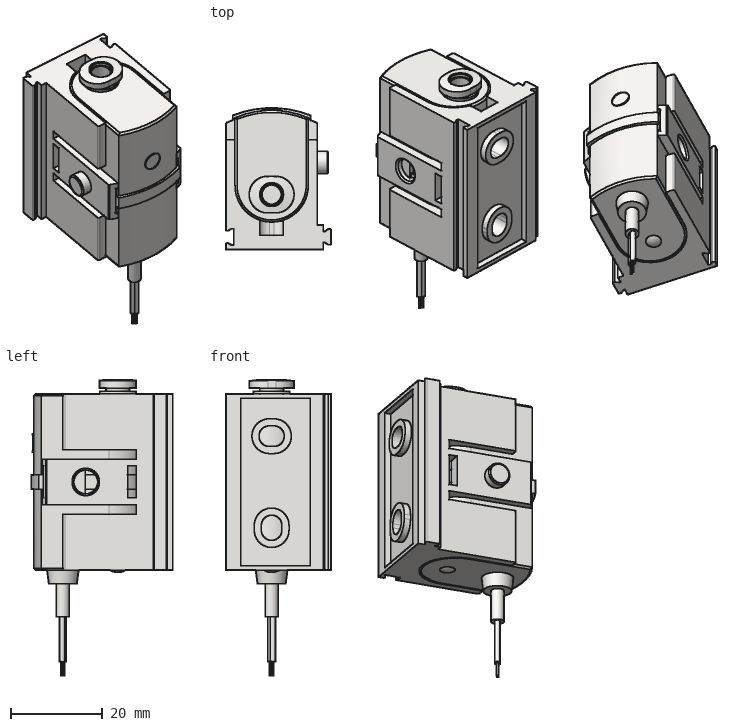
import cadquery as cq

height = 38.5
mid_z = height / 2
housing_half_width = 10.0

big = 100.0

unit_radius = 8.0
unit_center_y = 14.0
unit_side_y = 28.75
unit_back_y = 30.4
unit_chamfer = 0.45

band_height = 3.1
band_half_width = 8.5
band_side_y = 29.3
band_back_y = 30.94
pad_height = 7.0
pad_start_y = 19.1
pad_end_y = 28.55
groove_depth = 0.5

lamp_diameter = 4.0
lamp_z = height - 10.75
lamp_rise = 0.25

fitting_y = 12.0
fitting_diameter = 8.0
base_flange_height = 0.6
neck_diameter = 5.2
collar_start = 1.25
fitting_height = 3.1
collar_straight = 1.8
collar_slope_drop = 0.3
bore_diameter = 4.2
counterbore_diameter = 4.8
counterbore_depth = 0.9
counterbore_chamfer = 0.2
bore_depth = 5.0
dome_radius = 1.7
dome_height = 0.5

cable_y = 24.0
relief_top_diameter = 7.0
relief_bottom_diameter = 6.2
relief_length = 3.0
sheath_diameter = 2.9
sheath_end = 10.2
wire_diameter = 1.2
wire_end = 20.0
core_diameter = 0.45
core_end = 23.1
wire_offset_x = 0.28
wire_offset_y = 0.18

wall_end_y = 24.0
wall_outer_fillet = 0.4
arm_height = 10.0
arm_outer_y = 27.5
arm_inner_y = 28.5
arm_chamfer = 0.25
slot_height = 2.05
slot_start_y = 8.0
window_length = 1.85
window_height = 7.0

peg_y = 19.0
peg_diameter = 5.0
peg_length = 2.4
peg_chamfer = 0.3
socket_diameter = 5.2
socket_mouth_diameter = 6.0
socket_chamfer = (socket_mouth_diameter - socket_diameter) / 2
rail_center_y = 2.75
rail_base_x = 11.3
rail_tip_x = 13.0
rail_shoulder_y = 5.4
rail_waist = 2.4
rail_lobe = 3.5
rail_lobe_width = 0.6
rail_fillet = 0.25
groove_floor_depth = 1.7
groove_mouth = 2.75
groove_floor = 3.5
groove_lip = 0.6

recess_left_x = -6.75
recess_right_x = 8.4
recess_depth = 1.5
recess_margin = 1.0
port_spacing = 20.0
boss_diameter = 7.6
port_diameter = 4.5
port_straight = 1.0
shaft_width = 5.1
shaft_start_y = 3.1


def block(x0, x1, y0, y1, z0, z1):
    """Axis-aligned block between two corners."""
    return cq.Workplane("XY").box(x1 - x0, y1 - y0, z1 - z0, centered=False).translate((x0, y0, z0))


def disc(x, y, diameter, z0, z1):
    """Upright cylinder between two heights."""
    return cq.Workplane("XY", origin=(x, y, z0)).circle(diameter / 2).extrude(z1 - z0)


def obround(z, diameter, straight, y0, y1, upright):
    """Stadium-shaped prism along Y, lying along X or standing along Z."""
    turn = 90 if upright else 0
    sketch = cq.Workplane("XZ", origin=(0, y0, z))
    return sketch.slot2D(diameter + straight, diameter, turn).extrude(y0 - y1)


def u_prism(half_width, side_y, back_y, z0, z1):
    """Prism with a round front end, straight sides and a bowed back."""
    return (
        cq.Workplane("XY", origin=(0, 0, z0))
        .moveTo(-half_width, side_y)
        .lineTo(-half_width, unit_center_y)
        .threePointArc((0, unit_center_y - half_width), (half_width, unit_center_y))
        .lineTo(half_width, side_y)
        .threePointArc((0, back_y), (-half_width, side_y))
        .close()
        .extrude(z1 - z0)
    )


def centered_slab(span_height, y0, y1):
    """Slab across the full width, centred on the mid height."""
    return block(-big, big, y0, y1, mid_z - span_height / 2, mid_z + span_height / 2)


def clip_pads():
    """Shallow pads on both flanks that seat inside the snap arms."""
    pads = centered_slab(pad_height, pad_start_y, pad_end_y)
    return pads.intersect(u_prism(band_half_width, band_side_y, band_back_y, 0, height))


def fitting():
    """Push-in fitting: base flange, neck and release collar with a slightly conical top."""
    flange = disc(0, fitting_y, fitting_diameter, height, height + base_flange_height)
    neck = disc(0, fitting_y, neck_diameter, height, height + collar_start)
    collar = (
        cq.Workplane("XY", origin=(0, fitting_y, height + collar_start))
        .slot2D(fitting_diameter + collar_straight, fitting_diameter)
        .extrude(fitting_height - collar_start)
    )
    crown = (
        cq.Workplane("XY", origin=(0, fitting_y, height + fitting_height))
        .circle(counterbore_diameter / 2 + counterbore_chamfer)
        .workplane(offset=-collar_slope_drop)
        .circle((fitting_diameter + collar_straight) / 2)
        .loft()
    )
    plain_top = height + fitting_height - collar_slope_drop
    crown = crown.union(block(-big, big, -big, big, height, plain_top))
    return flange.union(neck).union(collar.intersect(crown))


def fitting_bore():
    """Blind stepped bore of the fitting with a chamfered mouth."""
    top = height + fitting_height
    bore = disc(0, fitting_y, bore_diameter, top - bore_depth, top)
    counterbore = disc(0, fitting_y, counterbore_diameter, top - counterbore_depth, top)
    mouth = (
        cq.Workplane("XY", origin=(0, fitting_y, top))
        .circle(counterbore_diameter / 2 + counterbore_chamfer)
        .workplane(offset=-counterbore_chamfer)
        .circle(counterbore_diameter / 2)
        .loft()
    )
    return bore.union(counterbore).union(mouth)


def dome():
    """Shallow dome under the lower end."""
    ball_radius = (dome_radius**2 + dome_height**2) / (2 * dome_height)
    ball = cq.Workplane("XY").sphere(ball_radius).translate((0, fitting_y, ball_radius - dome_height))
    return ball.intersect(block(-big, big, -big, big, -dome_height, 0))


def cable():
    """Strain relief, sheath and two wires with bare ends."""
    relief = (
        cq.Workplane("XY", origin=(0, cable_y, 0))
        .circle(relief_top_diameter / 2)
        .workplane(offset=-relief_length)
        .circle(relief_bottom_diameter / 2)
        .loft()
    )
    leads = relief.union(disc(0, cable_y, sheath_diameter, -sheath_end, -relief_length))
    for side in (-1, 1):
        x = side * wire_offset_x
        y = cable_y - side * wire_offset_y
        leads = leads.union(disc(x, y, wire_diameter, -wire_end, -sheath_end))
        leads = leads.union(disc(x, y, core_diameter, -core_end, -wire_end))
    return leads


def make_unit():
    """Control unit with its fitting, cable, clip band and lamp."""
    body = u_prism(unit_radius, unit_side_y, unit_back_y, 0, height)
    body = body.faces("<Z or >Z").edges().chamfer(unit_chamfer)

    groove = centered_slab(band_height, 0, pad_start_y)
    core = u_prism(unit_radius - groove_depth, unit_side_y, unit_back_y, 0, height)
    body = body.cut(groove.cut(core))

    band = centered_slab(band_height, pad_end_y, big)
    band = band.intersect(u_prism(band_half_width, band_side_y, band_back_y, 0, height))
    lamp = (
        cq.Workplane("XZ", origin=(0, unit_side_y, lamp_z))
        .circle(lamp_diameter / 2)
        .extrude(unit_side_y - band_back_y)
    )
    lamp = lamp.intersect(
        u_prism(unit_radius, unit_side_y + lamp_rise, unit_back_y + lamp_rise, 0, height)
    )
    body = body.union(clip_pads()).union(band).union(lamp)
    return body.union(fitting()).cut(fitting_bore()).union(dome()).union(cable())


def rail():
    """Dovetail rail with rounded lobes on the right side of the base."""
    lobe_start = rail_tip_x - rail_lobe_width
    tip_half = rail_lobe / 2
    waist_half = rail_waist / 2
    return (
        cq.Workplane("XY", origin=(0, rail_center_y, 0))
        .polyline([
            (rail_base_x, -waist_half),
            (rail_base_x + rail_fillet, -waist_half),
            (lobe_start, -tip_half),
            (rail_tip_x, -tip_half),
            (rail_tip_x, tip_half),
            (lobe_start, tip_half),
            (rail_base_x + rail_fillet, waist_half),
            (rail_base_x, waist_half),
        ])
        .close()
        .extrude(height)
        .edges("|Z and >X")
        .fillet(rail_fillet)
    )


def rail_groove():
    """Undercut groove on the left side that takes a neighbour's rail."""
    floor_x = groove_floor_depth - housing_half_width
    lip_x = groove_lip - housing_half_width
    flare_x = lip_x + groove_lip
    mouth_half = groove_mouth / 2
    floor_half = groove_floor / 2
    return (
        cq.Workplane("XY", origin=(0, rail_center_y, 0))
        .moveTo(-housing_half_width, -floor_half + rail_fillet)
        .threePointArc((-housing_half_width + groove_lip / 4, -mouth_half), (lip_x, -mouth_half))
        .lineTo(flare_x, -floor_half)
        .lineTo(floor_x, -floor_half)
        .lineTo(floor_x, floor_half)
        .lineTo(flare_x, floor_half)
        .lineTo(lip_x, mouth_half)
        .threePointArc(
            (-housing_half_width + groove_lip / 4, mouth_half),
            (-housing_half_width, floor_half - rail_fillet),
        )
        .close()
        .extrude(height)
    )


def snap_arms():
    """Two arms at mid height whose tips slope up towards the control unit."""
    shoulder_x = housing_half_width - arm_chamfer
    return (
        cq.Workplane("XY", origin=(0, 0, mid_z - arm_height / 2))
        .polyline([
            (-housing_half_width, slot_start_y),
            (housing_half_width, slot_start_y),
            (housing_half_width, arm_outer_y),
            (shoulder_x, arm_outer_y + arm_chamfer),
            (unit_radius, arm_inner_y),
            (-unit_radius, arm_inner_y),
            (-shoulder_x, arm_outer_y + arm_chamfer),
            (-housing_half_width, arm_outer_y),
        ])
        .close()
        .extrude(arm_height)
    )


def side_openings():
    """Slots that free the snap arms, and the window at each arm root."""
    slots = centered_slab(arm_height + 2 * slot_height, slot_start_y, big)
    slots = slots.cut(centered_slab(arm_height, slot_start_y, big))
    return slots.union(centered_slab(window_height, slot_start_y, slot_start_y + window_length))


def front_ports(body):
    """Front recess with two flush obround ports; a shaft opens the upper one at the top."""
    body = body.cut(block(
        recess_left_x, recess_right_x, 0, recess_depth, recess_margin, height - recess_margin
    ))
    for side, upright in ((1, False), (-1, True)):
        z = mid_z + side * port_spacing / 2
        body = body.union(obround(z, boss_diameter, port_straight, 0, recess_depth, upright))
        body = body.cut(obround(z, port_diameter, port_straight, 0, unit_center_y, upright))
    shaft_bottom = mid_z + port_spacing / 2
    return body.cut(block(
        -shaft_width / 2, shaft_width / 2, shaft_start_y, unit_center_y, shaft_bottom, height
    ))


def make_housing():
    """Housing that holds the control unit between two snap arms."""
    body = block(-housing_half_width, housing_half_width, 0, wall_end_y, 0, height)
    body = body.edges("|Z and >Y").fillet(wall_outer_fillet)
    body = body.union(block(0, rail_base_x, 0, rail_shoulder_y, 0, height))
    body = body.union(rail()).cut(rail_groove())
    body = front_ports(body)
    body = body.union(snap_arms()).cut(side_openings())

    peg = (
        cq.Workplane("YZ", origin=(unit_radius, peg_y, mid_z))
        .circle(peg_diameter / 2)
        .extrude(housing_half_width - unit_radius + peg_length)
        .faces(">X")
        .chamfer(peg_chamfer)
    )
    socket = (
        cq.Workplane("YZ", origin=(-housing_half_width, peg_y, mid_z))
        .circle(socket_diameter / 2)
        .extrude(housing_half_width)
    )
    socket_mouth = (
        cq.Workplane("YZ", origin=(-housing_half_width, peg_y, mid_z))
        .circle(socket_mouth_diameter / 2)
        .workplane(offset=socket_chamfer)
        .circle(socket_diameter / 2)
        .loft()
    )
    body = body.union(peg).cut(socket).cut(socket_mouth)

    cavity = u_prism(unit_radius, big, big + unit_radius, 0, height)
    return body.cut(cavity).cut(clip_pads())


unit = make_unit()
housing = make_housing()
result = cq.Compound.makeCompound([housing.val(), unit.val()])